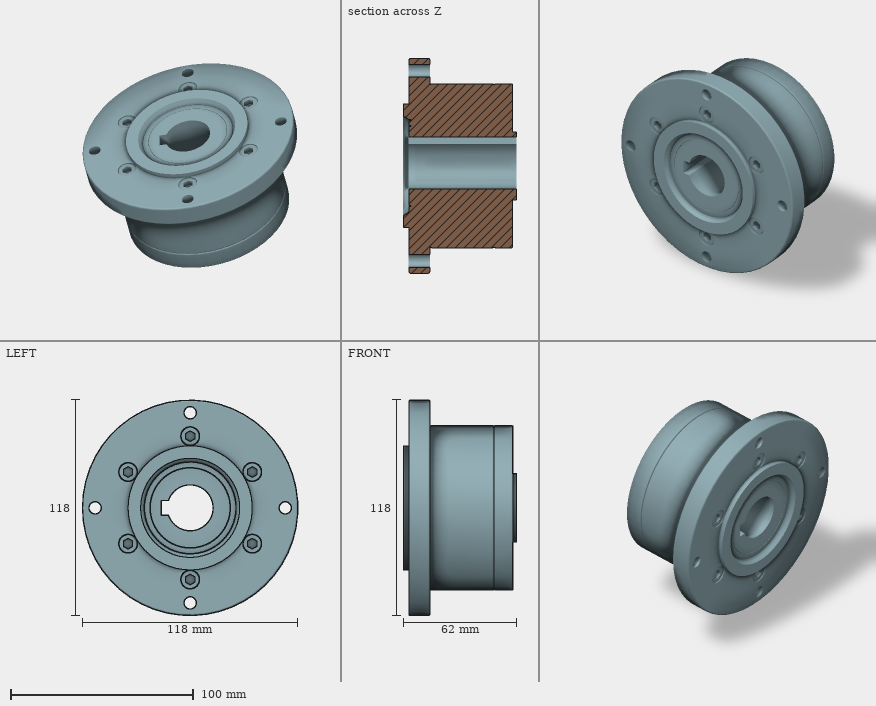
import cadquery as cq
import math

length = 62.0
pilot_length = 3.0
flange_thickness = 11.6
cover_length = 10.3
hub_stub_length = 2.0

flange_start = pilot_length
flange_end = flange_start + flange_thickness
cover_end = length - hub_stub_length
cover_start = cover_end - cover_length

flange_diameter = 118
housing_diameter = 90.0
pilot_diameter = 68.0
hub_stub_diameter = 37.5

housing_round = 1.0
cover_round = 0.7

recess_mouth_diameter = 54.3
recess_floor_diameter = 50.5
recess_depth = pilot_length

hub_diameter = 44.1
gap_width = 0.2
gap_depth = 1.0

bore_diameter = 25.0
key_width = 8.0
key_reach = 15.8

mount_count = 4
mount_circle_diameter = 104.1
mount_hole_diameter = 6.6

screw_count = 6
screw_circle_diameter = 78.5
screw_seat_diameter = 10.4
screw_head_sink = 0.5
screw_head_face = flange_start + screw_head_sink
socket_flats = 5.1
socket_depth = 3.0


def disc(start, end, diameter):
    """Solid cylinder about the X axis."""
    return cq.Workplane("YZ", origin=(start, 0, 0)).circle(diameter / 2).extrude(end - start)


def ring_gap(start, outer_diameter):
    """Narrow ring about the X axis, cut to separate two flush faces."""
    end = start + gap_depth
    return disc(start, end, outer_diameter).cut(disc(start, end, outer_diameter - 2 * gap_width))


def outer_body():
    """Pilot, flange, housing, cover and hub stub in a row along X."""
    pilot = disc(0, flange_end, pilot_diameter)
    flange = disc(flange_start, flange_end, flange_diameter).edges().fillet(housing_round)
    housing = disc(flange_end, cover_start, housing_diameter).edges().fillet(housing_round)
    cover = disc(cover_start, cover_end, housing_diameter).edges().fillet(cover_round)
    hub_stub = disc(cover_start, length, hub_stub_diameter)
    return pilot.union(flange).union(housing).union(cover).union(hub_stub)


def tapered_recess():
    """Cone frustum narrowing from the pilot face to the recess floor."""
    return (
        cq.Workplane("YZ")
        .circle(recess_mouth_diameter / 2)
        .workplane(offset=recess_depth)
        .circle(recess_floor_diameter / 2)
        .loft(ruled=True)
    )


def keyed_bore():
    """Through bore with a keyway on the +Y side."""
    keyway = cq.Workplane("YZ").center(key_reach / 2, 0).rect(key_reach, key_width).extrude(length)
    return disc(0, length, bore_diameter).union(keyway)


def screw_recess():
    """Shallow seat, gap around the head and hex socket with corners toward +Z and -Z."""
    seat = disc(flange_start, screw_head_face, screw_seat_diameter)
    socket_corners = socket_flats / math.cos(math.pi / 6)
    socket = (
        cq.Workplane("YZ", origin=(screw_head_face, 0, 0))
        .polygon(6, socket_corners)
        .extrude(socket_depth)
        .rotate((0, 0, 0), (1, 0, 0), 90)
    )
    return seat.union(ring_gap(screw_head_face, screw_seat_diameter)).union(socket)


def cut_around(body, tool, circle_diameter, count):
    """Cut a tool at equal steps on a circle about the X axis, keeping it upright."""
    for i in range(count):
        angle = 2 * math.pi * i / count
        y = -circle_diameter / 2 * math.sin(angle)
        z = circle_diameter / 2 * math.cos(angle)
        body = body.cut(tool.translate((0, y, z)))
    return body


mount_hole = disc(flange_start, flange_end, mount_hole_diameter)

result = outer_body().cut(tapered_recess()).cut(keyed_bore())
result = result.cut(ring_gap(recess_depth, recess_floor_diameter))
result = result.cut(ring_gap(recess_depth, hub_diameter))
result = cut_around(result, mount_hole, mount_circle_diameter, mount_count)
result = cut_around(result, screw_recess(), screw_circle_diameter, screw_count)